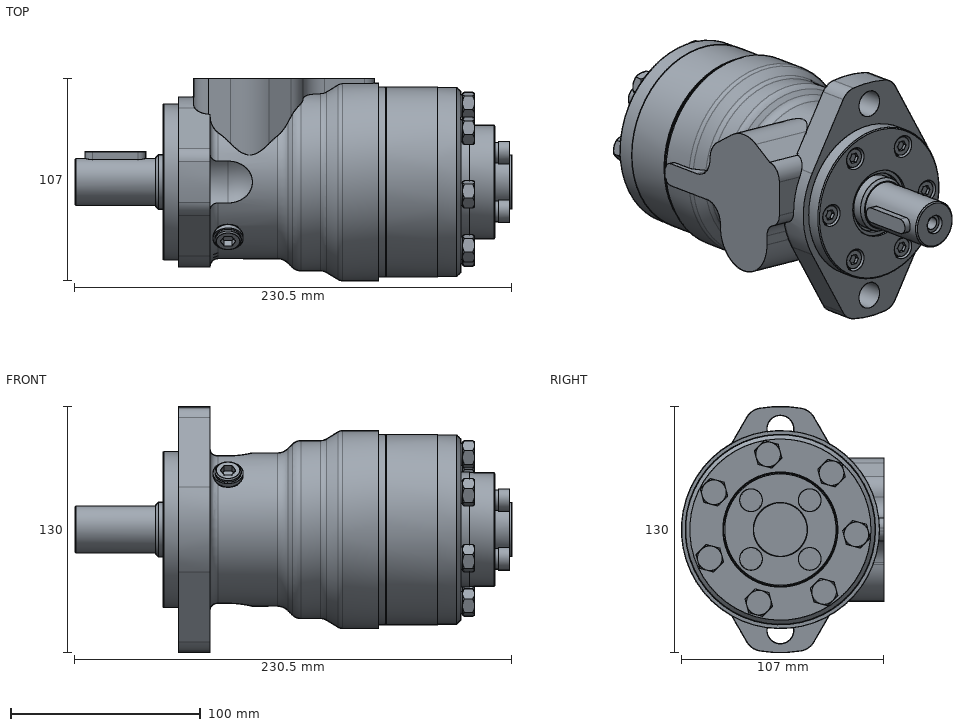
import cadquery as cq
import math


pilot_radius = 41.25
pilot_length = 8.2
pilot_chamfer = 0.6
flange_thickness = 16.8
flange_round_radius = 45.0
flange_tip_radius = 65.0
flange_corner_radius = 10.0
flange_side_tilt = 30.0
neck_radius = 40.5
neck_root_fillet = 4.0
neck_end_x = 52.4
bulge_radius = 47.0
bulge_start_x = 64.6
bulge_end_x = 75.0
barrel_radius = 52.25
barrel_start_x = 86.7
barrel_end_x = 105.6
front_shoulder_angle = 45.0
front_shoulder_root_radius = 7.5
rear_shoulder_angle = 31.5
rear_shoulder_root_radius = 6.2

mount_hole_radius = 53.2
mount_hole_diameter = 14.0
scoop_radius = 18.0
scoop_end_x = 26.3

port_face_y = 54.75
port_lobe_radius = 19.4
port_lobe_x = 37.7
port_lobe_z = 18.5
port_left_x = 8.0
port_left_top_z = 19.0
port_left_bottom_z = 0.4
port_shoulder_x = 16.0
port_shoulder_z = 28.0
port_shoulder_radius = 8.9
port_slope_tilt = 31.6
port_notch_z = -13.5
port_arm_root_x = 65.8
port_arm_root_top_z = 17.3
port_arm_root_radius = 12.3
port_arm_fillet = 11.2
port_arm_end_x = 103.6
port_arm_end_radius = 5.3

front_screw_count = 6
front_screw_circle_radius = 32.5
front_screw_recess_diameter = 11.9
front_screw_recess_depth = 4.0
front_screw_head_diameter = 10.0
front_screw_head_sink = 1.0
front_screw_socket_flats = 5.0
front_screw_socket_depth = 2.0

shaft_radius = 12.5
shaft_tip_x = -54.6
shaft_chamfer = 0.7
collar_radius = 14.5
collar_front_x = -12.0
collar_chamfer = 1.5
seal_recess_radius = 18.0
seal_recess_depth = 1.5
seal_groove_radius = 16.0
seal_groove_depth = 4.0
center_bore_diameter = 10.0
center_bore_depth = 2.5
center_hole_diameter = 6.65
center_hole_depth = 18.0
drill_tip_half_angle = 59.0
key_front_x = -49.4
key_length = 32.2
key_width = 8.0
key_bottom_y = 9.0
key_top_y = 16.0

plug_x = 26.2
plug_angle = 45.0
plug_seat_radius = 39.5
plug_flange_diameter = 16.0
plug_flange_top_radius = 42.3
plug_head_diameter = 14.0
plug_head_top_radius = 44.3
plug_head_chamfer = 0.8
plug_stem_diameter = 10.0
plug_stem_length = 9.0
plug_socket_flats = 7.0
plug_socket_depth = 4.0

gear_radius = 50.25
gear_end_x = 136.8
gear_groove_x = 109.2
gear_groove_width = 0.6
gear_groove_depth = 0.5

cover_radius = 50.0
cover_end_x = 149.0
cover_chamfer = 2.2
cap_base_radius = 30.4
cap_base_end_x = 153.7
cap_radius = 30.0
cap_end_x = 167.1
cap_chamfer = 0.6
boss_radius = 14.0
boss_plate_radius = 14.3
boss_plate_thickness = 1.3
boss_end_x = 175.9
cover_bolt_count = 7
cover_bolt_circle_radius = 40.2
cover_bolt_first_angle = -3.6
cover_bolt_flats = 13.0
cover_bolt_turn = 45.0
cover_bolt_washer_diameter = 11.9
cover_bolt_washer_height = 0.9
cover_bolt_top_x = 156.3
cap_screw_count = 4
cap_screw_circle_radius = 21.9
cap_screw_first_angle = 45.0
cap_screw_head_diameter = 12.0
cap_screw_washer_diameter = 11.0
cap_screw_washer_height = 1.8
cap_screw_top_x = 174.8


def disc(start_x, end_x, radius, y=0.0, z=0.0):
    """Cylinder along X between two X positions."""
    plane = cq.Workplane("YZ", origin=(start_x, y, z))
    return plane.circle(radius).extrude(end_x - start_x)


def hex_prism(start_x, end_x, across_flats, y, z, turn=0.0):
    """Hexagonal prism along X; turn rotates it about its own axis."""
    corner_diameter = across_flats / math.cos(math.radians(30))
    plane = cq.Workplane("YZ", origin=(start_x, y, z)).transformed(rotate=(0, 0, turn))
    return plane.polygon(6, corner_diameter).extrude(end_x - start_x)


def circle_positions(count, radius, first_angle):
    """(y, z) points equally spaced around the shaft axis."""
    angles = [math.radians(first_angle + 360.0 / count * i) for i in range(count)]
    return [(radius * math.cos(a), radius * math.sin(a)) for a in angles]


def add_shoulder(profile, start, end, angle, root_radius):
    """Continue an (x, r) profile up a sloped step: concave root arc, cone, convex crest arc."""
    tilt = math.radians(angle)
    run = end[0] - start[0]
    rise = end[1] - start[1]
    both_radii = (run - rise / math.tan(tilt)) / math.tan(tilt / 2)
    crest_radius = both_radii - root_radius

    def arc_point(corner, radius, turn, side):
        return (corner[0] + side * radius * math.sin(turn),
                corner[1] + side * radius * (1 - math.cos(turn)))

    return (profile
            .threePointArc(arc_point(start, root_radius, tilt / 2, 1), arc_point(start, root_radius, tilt, 1))
            .lineTo(*arc_point(end, crest_radius, tilt, -1))
            .threePointArc(arc_point(end, crest_radius, tilt / 2, -1), end))


def make_housing_core():
    """Revolved pilot, neck, bulge and barrel."""
    root_x = flange_thickness + neck_root_fillet
    fillet_drop = neck_root_fillet * (1 - math.cos(math.radians(45)))
    profile = (cq.Workplane("XY")
               .moveTo(-pilot_length, 0)
               .lineTo(-pilot_length, pilot_radius - pilot_chamfer)
               .lineTo(-pilot_length + pilot_chamfer, pilot_radius)
               .lineTo(flange_thickness / 2, pilot_radius)
               .lineTo(flange_thickness / 2, neck_radius + neck_root_fillet)
               .lineTo(flange_thickness, neck_radius + neck_root_fillet)
               .threePointArc((flange_thickness + fillet_drop, neck_radius + fillet_drop),
                              (root_x, neck_radius))
               .lineTo(neck_end_x, neck_radius))
    profile = add_shoulder(profile, (neck_end_x, neck_radius), (bulge_start_x, bulge_radius),
                           front_shoulder_angle, front_shoulder_root_radius)
    profile = profile.lineTo(bulge_end_x, bulge_radius)
    profile = add_shoulder(profile, (bulge_end_x, bulge_radius), (barrel_start_x, barrel_radius),
                           rear_shoulder_angle, rear_shoulder_root_radius)
    profile = profile.lineTo(barrel_end_x, barrel_radius).lineTo(barrel_end_x, 0).close()
    return profile.revolve(360, (0, 0, 0), (1, 0, 0))


def make_flange():
    """Two-ear flange: round sides, straight tangents, rounded corners and arced tips."""
    tilt = math.radians(flange_side_tilt)
    round_point = (flange_round_radius * math.cos(tilt), flange_round_radius * math.sin(tilt))
    corner_distance = flange_tip_radius - flange_corner_radius
    corner_angle = tilt + math.acos((flange_round_radius - flange_corner_radius) / corner_distance)
    corner = (corner_distance * math.cos(corner_angle), corner_distance * math.sin(corner_angle))

    def on_corner(angle):
        return (corner[0] + flange_corner_radius * math.cos(angle),
                corner[1] + flange_corner_radius * math.sin(angle))

    def flipped(point, side_y, side_z):
        return (side_y * point[0], side_z * point[1])

    side_end = on_corner(tilt)
    corner_middle = on_corner((tilt + corner_angle) / 2)
    tip_end = on_corner(corner_angle)

    outline = cq.Workplane("YZ").moveTo(*flipped(round_point, 1, -1))
    for side in (1, -1):
        outline = (outline
                   .threePointArc((side * flange_round_radius, 0), flipped(round_point, side, side))
                   .lineTo(*flipped(side_end, side, side))
                   .threePointArc(flipped(corner_middle, side, side), flipped(tip_end, side, side))
                   .threePointArc((0, side * flange_tip_radius), flipped(tip_end, -side, side))
                   .threePointArc(flipped(corner_middle, -side, side), flipped(side_end, -side, side))
                   .lineTo(*flipped(round_point, -side, side)))
    return outline.close().extrude(flange_thickness)


def make_port_block():
    """Port block: two round lobes, a stepped front end and a narrow arm reaching over the barrel."""
    slope = math.radians(port_slope_tilt)
    lobe_half_width = port_lobe_radius * math.sin(slope)
    lobe_edge_z = port_lobe_z + port_lobe_radius * math.cos(slope)
    slope_end_x = 2 * port_lobe_x - port_shoulder_x
    lobe_left_x = port_lobe_x - port_lobe_radius
    lobe_right_x = port_lobe_x + port_lobe_radius
    step_middle = ((port_left_x + lobe_left_x) / 2, (port_left_bottom_z + port_notch_z) / 2)
    arm_half_height = port_arm_root_top_z - port_arm_fillet
    arm_fillet_x = port_arm_root_x + port_arm_fillet
    lower_fillet_x = lobe_right_x + port_arm_fillet

    outline = (cq.Workplane("XZ", origin=(0, port_face_y, 0))
               .moveTo(port_left_x, port_left_bottom_z)
               .lineTo(port_left_x, port_left_top_z)
               .radiusArc((port_shoulder_x, port_shoulder_z), port_shoulder_radius)
               .lineTo(port_lobe_x - lobe_half_width, lobe_edge_z)
               .threePointArc((port_lobe_x, port_lobe_z + port_lobe_radius),
                              (port_lobe_x + lobe_half_width, lobe_edge_z))
               .lineTo(slope_end_x, port_shoulder_z)
               .radiusArc((port_arm_root_x, port_arm_root_top_z), port_arm_root_radius)
               .radiusArc((arm_fillet_x, arm_half_height), -port_arm_fillet)
               .lineTo(port_arm_end_x - port_arm_end_radius, arm_half_height)
               .radiusArc((port_arm_end_x, arm_half_height - port_arm_end_radius), port_arm_end_radius)
               .lineTo(port_arm_end_x, port_arm_end_radius - arm_half_height)
               .radiusArc((port_arm_end_x - port_arm_end_radius, -arm_half_height), port_arm_end_radius)
               .lineTo(lower_fillet_x, -arm_half_height)
               .radiusArc((lobe_right_x, -port_arm_root_top_z), -port_arm_fillet)
               .lineTo(lobe_right_x, -port_lobe_z)
               .threePointArc((port_lobe_x, -port_lobe_z - port_lobe_radius), (lobe_left_x, -port_lobe_z))
               .lineTo(lobe_left_x, port_notch_z)
               .tangentArcPoint(step_middle, relative=False)
               .tangentArcPoint((port_left_x, port_left_bottom_z), relative=False)
               .close())
    return outline.extrude(port_face_y)


def make_mount_scoop(z):
    """Round-ended clearance behind a flange hole, concentric with it."""
    arc_reach = scoop_radius * math.cos(math.radians(45))
    profile = (cq.Workplane("XY")
               .moveTo(flange_thickness, 0)
               .lineTo(flange_thickness, scoop_radius)
               .lineTo(scoop_end_x, scoop_radius)
               .threePointArc((scoop_end_x + arc_reach, arc_reach), (scoop_end_x + scoop_radius, 0))
               .close())
    return profile.revolve(360, (0, 0, 0), (1, 0, 0)).translate((0, 0, z))


def make_front_screw_recess(y, z):
    """Cavity left around a sunk socket screw head, including its hex socket."""
    face_x = -pilot_length
    head_x = face_x + front_screw_head_sink
    recess = disc(face_x, face_x + front_screw_recess_depth, front_screw_recess_diameter / 2, y, z)
    head = disc(head_x, face_x + front_screw_recess_depth, front_screw_head_diameter / 2, y, z)
    socket = hex_prism(head_x, head_x + front_screw_socket_depth, front_screw_socket_flats, y, z)
    return recess.cut(head).union(socket)


def make_plug_blank():
    """Drain plug without its socket, placed in the neck."""
    stem_radius = plug_stem_diameter / 2
    flange_radius = plug_flange_diameter / 2
    head_radius = plug_head_diameter / 2
    profile = (cq.Workplane("XZ")
               .moveTo(0, plug_seat_radius - plug_stem_length)
               .lineTo(stem_radius, plug_seat_radius - plug_stem_length)
               .lineTo(stem_radius, plug_seat_radius)
               .lineTo(flange_radius, plug_seat_radius)
               .lineTo(flange_radius, plug_flange_top_radius)
               .lineTo(head_radius, plug_flange_top_radius)
               .lineTo(head_radius, plug_head_top_radius - plug_head_chamfer)
               .lineTo(head_radius - plug_head_chamfer, plug_head_top_radius)
               .lineTo(0, plug_head_top_radius)
               .close())
    return place_plug(profile.revolve(360, (0, 0, 0), (0, 1, 0)))


def place_plug(body):
    """Tilt a body built along +Z about the shaft axis and move it to the plug position."""
    return body.rotate((0, 0, 0), (1, 0, 0), plug_angle).translate((plug_x, 0, 0))


def make_plug():
    """Drain plug with its hex socket."""
    corner_diameter = plug_socket_flats / math.cos(math.radians(30))
    socket = (cq.Workplane("XY", origin=(0, 0, plug_head_top_radius - plug_socket_depth))
              .polygon(6, corner_diameter)
              .extrude(plug_socket_depth))
    return make_plug_blank().cut(place_plug(socket))


def make_shaft_blank():
    """Shaft and collar before the keyway and center hole are cut."""
    profile = (cq.Workplane("XY")
               .moveTo(shaft_tip_x, 0)
               .lineTo(shaft_tip_x, shaft_radius - shaft_chamfer)
               .lineTo(shaft_tip_x + shaft_chamfer, shaft_radius)
               .lineTo(collar_front_x, shaft_radius)
               .lineTo(collar_front_x, collar_radius - collar_chamfer)
               .lineTo(collar_front_x + collar_chamfer, collar_radius)
               .lineTo(flange_thickness, collar_radius)
               .lineTo(flange_thickness, 0)
               .close())
    return profile.revolve(360, (0, 0, 0), (1, 0, 0))


def make_key():
    """Round-ended parallel key standing out of the shaft on the +Y side."""
    return (cq.Workplane("XZ", origin=(key_front_x + key_length / 2, key_top_y, 0))
            .slot2D(key_length, key_width)
            .extrude(key_top_y - key_bottom_y))


def make_shaft():
    """Shaft with its stepped center hole and keyway."""
    bore_end_x = shaft_tip_x + center_bore_depth
    hole_end_x = shaft_tip_x + center_hole_depth
    hole_radius = center_hole_diameter / 2
    tip_length = hole_radius / math.tan(math.radians(drill_tip_half_angle))
    center_hole = (cq.Workplane("XY")
                   .moveTo(shaft_tip_x, 0)
                   .lineTo(shaft_tip_x, center_bore_diameter / 2)
                   .lineTo(bore_end_x, center_bore_diameter / 2)
                   .lineTo(bore_end_x, hole_radius)
                   .lineTo(hole_end_x, hole_radius)
                   .lineTo(hole_end_x + tip_length, 0)
                   .close()
                   .revolve(360, (0, 0, 0), (1, 0, 0)))
    return make_shaft_blank().cut(center_hole).cut(make_key())


def make_housing():
    """Housing with flange, port block and all of its holes and seats."""
    body = make_housing_core().union(make_port_block())
    for side in (1, -1):
        body = body.cut(make_mount_scoop(side * mount_hole_radius))
    body = body.union(make_flange())
    for side in (1, -1):
        body = body.cut(disc(0, flange_thickness, mount_hole_diameter / 2, 0, side * mount_hole_radius))
    for y, z in circle_positions(front_screw_count, front_screw_circle_radius, 0):
        body = body.cut(make_front_screw_recess(y, z))
    face_x = -pilot_length
    body = body.cut(disc(face_x, face_x + seal_recess_depth, seal_recess_radius))
    body = body.cut(disc(face_x, face_x + seal_groove_depth, seal_groove_radius))
    return body.cut(make_shaft_blank()).cut(make_plug_blank())


def make_gear_set():
    """Round gear set section with a thin joint groove."""
    body = disc(barrel_end_x, gear_end_x, gear_radius)
    groove_end_x = gear_groove_x + gear_groove_width
    groove_floor = disc(gear_groove_x, groove_end_x, gear_radius - gear_groove_depth)
    return body.cut(disc(gear_groove_x, groove_end_x, gear_radius).cut(groove_floor))


def make_cover_bolt(y, z):
    """Hex bolt head with a round washer face and chamfered corners."""
    head_x = cover_end_x + cover_bolt_washer_height
    washer = disc(cover_end_x, head_x, cover_bolt_washer_diameter / 2, y, z)
    head = hex_prism(head_x, cover_bolt_top_x, cover_bolt_flats, y, z, cover_bolt_turn)
    corner_radius = cover_bolt_flats / 2 / math.cos(math.radians(30))
    envelope = disc(head_x, cover_bolt_top_x, corner_radius, y, z)
    envelope = envelope.faces("<X or >X").chamfer(corner_radius - cover_bolt_flats / 2)
    return washer.union(head.intersect(envelope))


def make_cap_screw(y, z):
    """Round screw head standing on a smaller washer face."""
    head_x = cap_end_x + cap_screw_washer_height
    washer = disc(cap_end_x, head_x, cap_screw_washer_diameter / 2, y, z)
    return washer.union(disc(head_x, cap_screw_top_x, cap_screw_head_diameter / 2, y, z))


def make_end_cover():
    """End cover, rear cap and boss, with the bolt and screw heads."""
    body = disc(gear_end_x, cover_end_x, cover_radius).faces(">X").chamfer(cover_chamfer)
    body = body.union(disc(cover_end_x, cap_base_end_x, cap_base_radius))
    body = body.union(disc(cap_base_end_x, cap_end_x, cap_radius).faces(">X").chamfer(cap_chamfer))
    plate_x = boss_end_x - boss_plate_thickness
    body = body.union(disc(cap_end_x, plate_x, boss_radius))
    body = body.union(disc(plate_x, boss_end_x, boss_plate_radius))
    for y, z in circle_positions(cover_bolt_count, cover_bolt_circle_radius, cover_bolt_first_angle):
        body = body.union(make_cover_bolt(y, z))
    for y, z in circle_positions(cap_screw_count, cap_screw_circle_radius, cap_screw_first_angle):
        body = body.union(make_cap_screw(y, z))
    return body


housing = make_housing()
shaft = make_shaft()
key = make_key()
drain_plug = make_plug()
gear_set = make_gear_set()
end_cover = make_end_cover()

result = cq.Compound.makeCompound([
    housing.val(),
    shaft.val(),
    key.val(),
    drain_plug.val(),
    gear_set.val(),
    end_cover.val(),
])